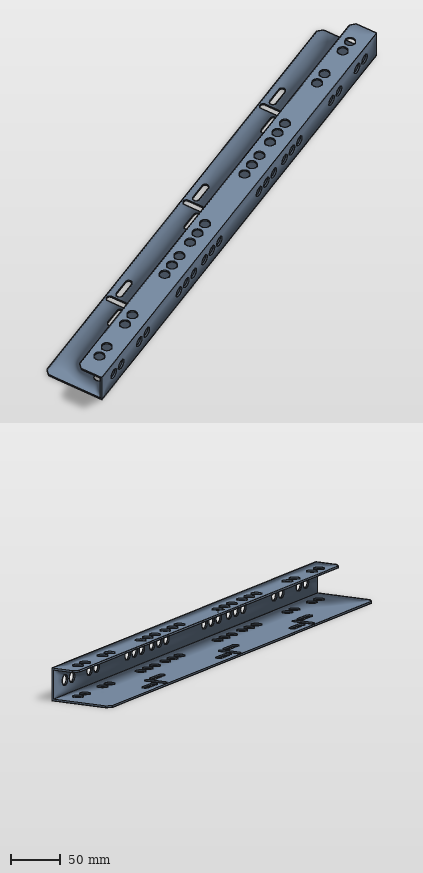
import cadquery as cq

LENGTH = 537.5
BASE_WIDTH = 67.5
LIP_WIDTH = 29.0
HEIGHT = 34.0
THICKNESS = 2.0
CORNER_CHAMFER = 5.0

HOLE_DIAMETER = 11.0
HOLE_PITCH = 14.5
HOLE_TO_WEB_FACE = 17.0
GROUP_SPACING = 50.0
PAIR_CLUSTER_Y = 213.0
TRIPLE_CLUSTER_Y = 78.25

SLOT_LENGTH = 25.0
SLOT_WIDTH = 7.0
SLOT_SET_COUNT = 3
SLOT_SET_SPACING = 150.0
SLOT_STEP_Y = 18.75
OUTER_SLOT_INSET = 11.0
CROSS_SLOT_INSET = 14.5
INNER_SLOT_INSET = 23.5

WEB_X = BASE_WIDTH / 2
BASE_EDGE_X = -BASE_WIDTH / 2
BOTTOM_Z = -HEIGHT / 2
TOP_Z = HEIGHT / 2


def make_flange(width, bottom_z):
    """Flat plate reaching from the web face, with its free corners chamfered."""
    plate = cq.Workplane("XY").box(width, LENGTH, THICKNESS, centered=(False, True, False))
    plate = plate.edges("|Z and <X").chamfer(CORNER_CHAMFER)
    return plate.translate((WEB_X - width, 0, bottom_z))


def make_channel():
    web = (
        cq.Workplane("XY")
        .box(THICKNESS, LENGTH, HEIGHT)
        .translate((WEB_X - THICKNESS / 2, 0, 0))
    )
    base = make_flange(BASE_WIDTH, BOTTOM_Z)
    lip = make_flange(LIP_WIDTH, TOP_Z - THICKNESS)
    return web.union(base).union(lip)


def hole_positions():
    """Y of every round hole: clusters of two groups, mirrored about the centre."""
    positions = []
    for cluster_y, count in ((PAIR_CLUSTER_Y, 2), (TRIPLE_CLUSTER_Y, 3)):
        for side in (-1, 1):
            for group in (-0.5, 0.5):
                group_y = side * cluster_y + group * GROUP_SPACING
                first_y = group_y - HOLE_PITCH * (count - 1) / 2
                positions += [first_y + HOLE_PITCH * i for i in range(count)]
    return positions


def make_hole_cutter():
    """Drills through both flanges along Z and through the web along X."""
    radius = HOLE_DIAMETER / 2
    positions = hole_positions()
    flange_drills = (
        cq.Workplane("XY", origin=(WEB_X - HOLE_TO_WEB_FACE, 0, BOTTOM_Z))
        .pushPoints([(0, y) for y in positions])
        .circle(radius)
        .extrude(HEIGHT)
    )
    web_drills = (
        cq.Workplane("YZ", origin=(WEB_X - THICKNESS, 0, 0))
        .pushPoints([(y, 0) for y in positions])
        .circle(radius)
        .extrude(THICKNESS)
    )
    return flange_drills.add(web_drills).combine()


def make_slots(inset, offset_y, angle):
    """One slot of each set, at the given inset from the base's free edge."""
    middle = (SLOT_SET_COUNT - 1) / 2
    centres = [
        (BASE_EDGE_X + inset, (i - middle) * SLOT_SET_SPACING + offset_y)
        for i in range(SLOT_SET_COUNT)
    ]
    return (
        cq.Workplane("XY", origin=(0, 0, BOTTOM_Z))
        .pushPoints(centres)
        .slot2D(SLOT_LENGTH, SLOT_WIDTH, angle)
        .extrude(THICKNESS)
    )


result = (
    make_channel()
    .cut(make_hole_cutter())
    .cut(make_slots(OUTER_SLOT_INSET, SLOT_STEP_Y, 90))
    .cut(make_slots(CROSS_SLOT_INSET, 0, 0))
    .cut(make_slots(INNER_SLOT_INSET, -SLOT_STEP_Y, 90))
)